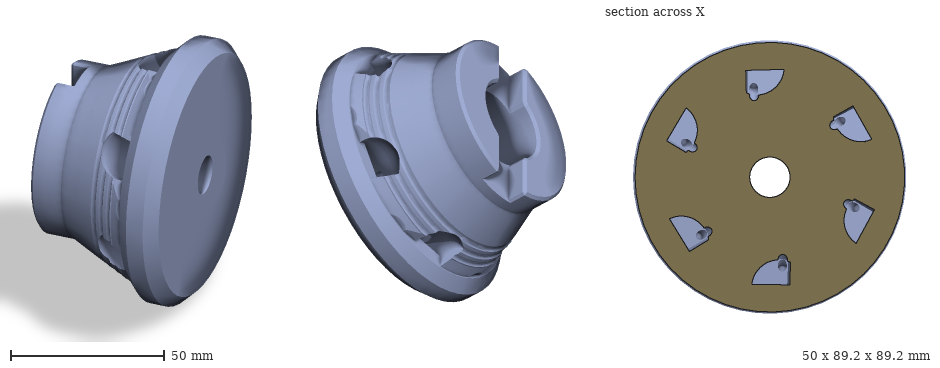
import cadquery as cq
import math


length = 50.0
shank_radius = 29.0
shank_length = 10.9
cone_end_x = 24.4
cone_end_radius = 34.9
land_length = 0.7

serration_count = 3
serration_pitch = 3.0
serration_rise = 1.3
crest_width = 0.45
hollow_length = 1.3
hollow_rise = 1.0
hollow_sag = 0.4

flange_x = 36.0
cone_top_radius = 40.2
flange_foot_radius = 40.6
flange_radius = 44.6
flange_chamfer = flange_radius - flange_foot_radius

bore_radius = 13.6
bore_depth = 19.2
hole_radius = 6.5
hole_chamfer = 1.0
slot_width = 12.7
slot_depth = 6.9
jaw_chamfer = 1.0

pockets_per_set = 3
set_angles = (-1.5, 60.6)
pocket_angles = [first + k * 360 / pockets_per_set for first in set_angles for k in range(pockets_per_set)]
pocket_start_x = 23.2
pocket_top = 53.5
seat_offset = 7.7
seat_tilt = 12.7
gullet_radius = 8.9
gullet_center = cq.Vector(34.3, 3.4, 36.75)
gullet_length = 8.9
gullet_slope = 8.0
undercut_height = 35.0
runout_start = (4.5, 37.6)
runout_end = (-17.8, 38.2)

scallop_radius = 21.4
scallop_depth_radius = 39.4
scallop_angle = 21.3

coolant_radius = 1.47
coolant_offset = 4.5
coolant_inner = cq.Vector(19.2, coolant_offset, 12.85)
coolant_outer = cq.Vector(39.7, coolant_offset, 27.1)
coolant_overrun = 5.35


def turned_body():
    """Outer shape, bore and through hole in a single revolved half section."""
    section = (
        cq.Workplane("XY")
        .moveTo(0, bore_radius)
        .lineTo(0, shank_radius)
        .lineTo(shank_length, shank_radius)
        .lineTo(cone_end_x - land_length, cone_end_radius)
        .lineTo(cone_end_x, cone_end_radius)
    )
    for i in range(serration_count):
        x = cone_end_x + i * serration_pitch
        r = cone_end_radius + i * serration_rise
        section = section.threePointArc(
            (x + hollow_length / 2, r + hollow_rise / 2 - hollow_sag),
            (x + hollow_length, r + hollow_rise),
        )
        if i < serration_count - 1:
            section = section.lineTo(x + serration_pitch - crest_width, r + serration_rise)
            section = section.lineTo(x + serration_pitch, r + serration_rise)
    last_hollow_end = cone_end_x + (serration_count - 1) * serration_pitch + hollow_length
    last_crest_radius = cone_end_radius + (serration_count - 1) * serration_rise + hollow_rise
    section = (
        section.lineTo(last_hollow_end + crest_width, last_crest_radius)
        .lineTo(flange_x, cone_top_radius)
        .lineTo(flange_x, flange_foot_radius)
        .lineTo(flange_x + flange_chamfer, flange_radius)
        .lineTo(length - flange_chamfer, flange_radius)
        .lineTo(length, flange_foot_radius)
        .lineTo(length, hole_radius)
        .lineTo(bore_depth + hole_chamfer, hole_radius)
        .lineTo(bore_depth, hole_radius + hole_chamfer)
        .lineTo(bore_depth, bore_radius)
        .close()
    )
    return section.revolve(360, (0, 0, 0), (1, 0, 0))


def drive_slot(body):
    """Cut the slot across the shank face and chamfer the two jaws it leaves."""
    slot = cq.Workplane("XY").box(2 * slot_depth, slot_width, 2 * flange_radius)
    body = body.cut(slot)
    half = slot_width / 2
    margin = jaw_chamfer / 2
    for side in (-half, half):
        corners = cq.selectors.BoxSelector(
            (0, side - margin, -flange_radius), (slot_depth, side + margin, flange_radius)
        )
        body = body.edges("|X").edges(corners).chamfer(jaw_chamfer)
    return body.faces("<X").edges().chamfer(jaw_chamfer)


def gullet_cutter():
    """Round-nosed chip gullet along +Z, bounded by the flat insert seat and the flange face."""
    slope = math.tan(math.radians(seat_tilt))
    outside = -2 * gullet_radius

    def seat_block(end_x, height):
        return (
            cq.Workplane("XY")
            .moveTo(end_x, seat_offset - (end_x - flange_x) * slope)
            .lineTo(pocket_start_x, seat_offset + (flange_x - pocket_start_x) * slope)
            .lineTo(pocket_start_x, outside)
            .lineTo(end_x, outside)
            .close()
            .extrude(height)
        )

    bounds = seat_block(flange_x, pocket_top).union(seat_block(length, undercut_height))
    descent = math.radians(gullet_slope)
    direction = cq.Vector(math.cos(descent), 0, -math.sin(descent))
    nose = cq.Workplane("XY").sphere(gullet_radius).translate(gullet_center)
    track = cq.Solid.makeCylinder(gullet_radius, gullet_length, gullet_center, direction)
    return nose.union(cq.Workplane(track)).intersect(bounds)


def runout_cutter():
    """Flat chip runout next to the gullet."""
    return (
        cq.Workplane("YZ", origin=(pocket_start_x, 0, 0))
        .moveTo(*runout_start)
        .lineTo(*runout_end)
        .lineTo(runout_end[0], pocket_top)
        .lineTo(runout_start[0], pocket_top)
        .close()
        .extrude(flange_x - pocket_start_x)
    )


def scallop_cutter():
    """Round cutter parallel to X that grazes the cone in front of the flange."""
    return (
        cq.Workplane("YZ", origin=(pocket_start_x, 0, scallop_depth_radius + scallop_radius))
        .circle(scallop_radius)
        .extrude(flange_x - pocket_start_x)
        .rotate((0, 0, 0), (1, 0, 0), scallop_angle)
    )


def coolant_cutter():
    """Slanted drill from the corner of the bore floor into the gullet."""
    direction = (coolant_outer - coolant_inner).normalized()
    start = coolant_inner - direction * coolant_overrun
    depth = (coolant_outer - start).Length + coolant_overrun
    return cq.Workplane(cq.Solid.makeCylinder(coolant_radius, depth, start, direction))


result = drive_slot(turned_body())
for cutter in (gullet_cutter(), runout_cutter(), scallop_cutter(), coolant_cutter()):
    for angle in pocket_angles:
        result = result.cut(cutter.rotate((0, 0, 0), (1, 0, 0), angle))